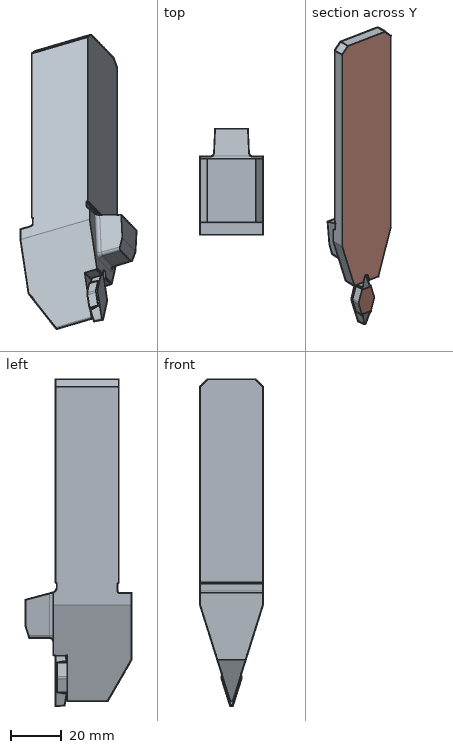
import cadquery as cq
import math

TOTAL_HEIGHT = 129
SHANK_WIDTH = 24.9
SHANK_DEPTH = 25.0
TOP_CHAMFER = 3.0

HALF_ANGLE = 17.5
WEDGE_SIN = math.sin(math.radians(HALF_ANGLE))
WEDGE_COS = math.cos(math.radians(HALF_ANGLE))
WEDGE_TAN = math.tan(math.radians(HALF_ANGLE))

HEAD_FRONT_Y = -30.0
HEAD_REAR_Y = 0.9
HEAD_LEDGE_Z = 44.8
TAPER_TOP_Z = 40
HEAD_NOSE_RADIUS = 0.6
FRONT_SLOPE_TOP_Z = 18.5
FRONT_SLOPE_ANGLE = 30

UNDERCUT_TOP_Z = 48.9
UNDERCUT_DEPTH = 0.5
FRONT_UNDERCUT_RADIUS = 0.8
REAR_UNDERCUT_RADIUS = 2.2

BOSS_REAR_Y = 11.9
BOSS_REAR_TOP_Z = 42.0
BOSS_TOP_ANGLE = 15
BOSS_REAR_BOTTOM_Z = 31.7
BOSS_BOTTOM_Z = 27.0
BOSS_BOTTOM_REAR_Y = 10.3
BOSS_ROOT_WIDTH = 13.5
BOSS_DRAFT_ANGLE = 1.2
BOSS_SIDE_TAPER_ANGLE = 5
BOSS_EDGE_RADIUS = 1.23
BOSS_ROOT_RADIUS = 1.48

INSERT_THICKNESS = 4.6
INSERT_HALF_WIDTH = 4.1
INSERT_NOSE_RADIUS = 0.71
INSERT_SIDE_RADIUS = 1.48
CLEARANCE_ANGLE = 5
RIM_THICKNESS = 0.8
LAND_HALF_LENGTH = 6.6
LAND_END_LENGTH = 0.8
BASE_RELIEF_HALF_LENGTH = 5.2
BASE_RELIEF_DEPTH = 1.3

SEAT_TOP_Z = 20.0
SEAT_EDGE_CHAMFER = 0.4

NOSE_SETBACK = 1 / WEDGE_SIN - 1
HEAD_APEX_Z = TAPER_TOP_Z - SHANK_WIDTH / 2 / WEDGE_TAN
HEAD_BOTTOM_Z = HEAD_APEX_Z + HEAD_NOSE_RADIUS * NOSE_SETBACK
INSERT_SHARP_HALF_LENGTH = INSERT_HALF_WIDTH / WEDGE_TAN
INSERT_CENTER_Z = INSERT_SHARP_HALF_LENGTH - INSERT_NOSE_RADIUS * NOSE_SETBACK


def extrude_across(sketch, width):
    """Extrude a YZ profile symmetrically about X = 0."""
    return sketch.extrude(width / 2, both=True)


def make_shank():
    undercut_floor_y = -SHANK_DEPTH + UNDERCUT_DEPTH
    shank = (
        cq.Workplane("YZ")
        .moveTo(0, HEAD_LEDGE_Z)
        .lineTo(0, TOTAL_HEIGHT)
        .lineTo(-SHANK_DEPTH, TOTAL_HEIGHT)
        .lineTo(-SHANK_DEPTH, UNDERCUT_TOP_Z)
        .lineTo(undercut_floor_y, UNDERCUT_TOP_Z - UNDERCUT_DEPTH)
        .lineTo(undercut_floor_y, HEAD_LEDGE_Z)
        .close()
    )
    return extrude_across(shank, SHANK_WIDTH).faces(">Z").edges("|Y").chamfer(TOP_CHAMFER)


def make_head():
    slope_run = (FRONT_SLOPE_TOP_Z - HEAD_BOTTOM_Z) * math.tan(math.radians(FRONT_SLOPE_ANGLE))
    side_profile = cq.Workplane("YZ").polyline([
        (HEAD_FRONT_Y, HEAD_LEDGE_Z),
        (HEAD_FRONT_Y, FRONT_SLOPE_TOP_Z),
        (HEAD_FRONT_Y + slope_run, HEAD_BOTTOM_Z),
        (HEAD_REAR_Y, HEAD_BOTTOM_Z),
        (HEAD_REAR_Y, UNDERCUT_TOP_Z),
        (-UNDERCUT_DEPTH, UNDERCUT_TOP_Z),
        (-UNDERCUT_DEPTH, HEAD_LEDGE_Z),
    ]).close()
    tangent_x = HEAD_NOSE_RADIUS * WEDGE_COS
    tangent_z = HEAD_BOTTOM_Z + HEAD_NOSE_RADIUS * (1 - WEDGE_SIN)
    wedge = (
        cq.Workplane("XZ", origin=(0, HEAD_REAR_Y, 0))
        .moveTo(-SHANK_WIDTH / 2, UNDERCUT_TOP_Z)
        .lineTo(-SHANK_WIDTH / 2, TAPER_TOP_Z)
        .lineTo(-tangent_x, tangent_z)
        .threePointArc((0, HEAD_BOTTOM_Z), (tangent_x, tangent_z))
        .lineTo(SHANK_WIDTH / 2, TAPER_TOP_Z)
        .lineTo(SHANK_WIDTH / 2, UNDERCUT_TOP_Z)
        .close()
        .extrude(HEAD_REAR_Y - HEAD_FRONT_Y)
    )
    return extrude_across(side_profile, SHANK_WIDTH).intersect(wedge)


def make_boss():
    """Drafted boss, left tall so that the rear undercut can slope its top."""
    side_profile = cq.Workplane("YZ").polyline([
        (0, BOSS_BOTTOM_Z),
        (BOSS_BOTTOM_REAR_Y, BOSS_BOTTOM_Z),
        (BOSS_REAR_Y, BOSS_REAR_BOTTOM_Z),
        (BOSS_REAR_Y, UNDERCUT_TOP_Z),
        (0, UNDERCUT_TOP_Z),
    ]).close()
    taper_tan = math.tan(math.radians(BOSS_SIDE_TAPER_ANGLE))
    bottom_half_width = BOSS_ROOT_WIDTH / 2 - BOSS_REAR_TOP_Z * taper_tan
    top_half_width = bottom_half_width + UNDERCUT_TOP_Z * taper_tan
    rear_facing_plane = cq.Plane(origin=(0, 0, 0), xDir=(-1, 0, 0), normal=(0, 1, 0))
    tapered_sides = (
        cq.Workplane(rear_facing_plane)
        .polyline([
            (-bottom_half_width, 0),
            (bottom_half_width, 0),
            (top_half_width, UNDERCUT_TOP_Z),
            (-top_half_width, UNDERCUT_TOP_Z),
        ])
        .close()
        .extrude(BOSS_REAR_Y, taper=BOSS_DRAFT_ANGLE)
    )
    boss = extrude_across(side_profile, SHANK_WIDTH).intersect(tapered_sides)
    lower_side_edges = boss.faces("<Z").edges("not |X")
    return boss.newObject(lower_side_edges.vals()).fillet(BOSS_EDGE_RADIUS)


def make_rear_undercut():
    """Cutter above the rear ledge: groove floor, root radius and sloping boss top."""
    slope = math.radians(BOSS_TOP_ANGLE)
    floor_y = -UNDERCUT_DEPTH
    corner_z = BOSS_REAR_TOP_Z + (BOSS_REAR_Y - floor_y) * math.tan(slope)
    center_y = floor_y + REAR_UNDERCUT_RADIUS
    tangent = REAR_UNDERCUT_RADIUS * math.tan((math.pi / 2 - slope) / 2)
    center_z = corner_z + tangent
    middle = math.pi + (math.pi / 2 - slope) / 2
    end = math.pi + (math.pi / 2 - slope)
    arc_middle = (
        center_y + REAR_UNDERCUT_RADIUS * math.cos(middle),
        center_z + REAR_UNDERCUT_RADIUS * math.sin(middle),
    )
    arc_end = (
        center_y + REAR_UNDERCUT_RADIUS * math.cos(end),
        center_z + REAR_UNDERCUT_RADIUS * math.sin(end),
    )
    cutter = (
        cq.Workplane("YZ")
        .moveTo(0, UNDERCUT_TOP_Z)
        .lineTo(floor_y, UNDERCUT_TOP_Z - UNDERCUT_DEPTH)
        .lineTo(floor_y, center_z)
        .threePointArc(arc_middle, arc_end)
        .lineTo(BOSS_REAR_Y, BOSS_REAR_TOP_Z)
        .lineTo(BOSS_REAR_Y, UNDERCUT_TOP_Z)
        .close()
    )
    return extrude_across(cutter, SHANK_WIDTH)


def rhombus(rake_y):
    """Sharp insert outline on an XZ plane whose extrusion runs toward -Y."""
    return cq.Workplane("XZ", origin=(0, rake_y, INSERT_CENTER_Z)).polyline([
        (INSERT_HALF_WIDTH, 0),
        (0, INSERT_SHARP_HALF_LENGTH),
        (-INSERT_HALF_WIDTH, 0),
        (0, -INSERT_SHARP_HALF_LENGTH),
    ]).close()


def round_rhombus(prism):
    noses = prism.edges("<Z or >Z").fillet(INSERT_NOSE_RADIUS)
    return noses.edges("|Y").edges("<X or >X").fillet(INSERT_SIDE_RADIUS)


def make_seat():
    """Step across the head, with a notch that takes the hidden upper end of the insert."""
    step = cq.Workplane("YZ").polyline([
        (-INSERT_THICKNESS, 0),
        (-INSERT_THICKNESS, SEAT_TOP_Z),
        (HEAD_REAR_Y - SEAT_EDGE_CHAMFER, SEAT_TOP_Z),
        (HEAD_REAR_Y, SEAT_TOP_Z + SEAT_EDGE_CHAMFER),
        (HEAD_REAR_Y, 0),
    ]).close()
    notch = round_rhombus(rhombus(HEAD_REAR_Y).extrude(INSERT_THICKNESS + HEAD_REAR_Y))
    return extrude_across(step, SHANK_WIDTH).union(notch)


def make_holder():
    front_root = cq.selectors.BoxSelector(
        (-SHANK_WIDTH, -SHANK_DEPTH, HEAD_LEDGE_Z - UNDERCUT_DEPTH),
        (SHANK_WIDTH, -SHANK_DEPTH + 2 * UNDERCUT_DEPTH, HEAD_LEDGE_Z + UNDERCUT_DEPTH),
    )
    body = make_shank().union(make_head())
    body = body.edges(front_root).edges("|X").fillet(FRONT_UNDERCUT_RADIUS)
    boss_root = cq.selectors.BoxSelector(
        (-BOSS_ROOT_WIDTH / 2, HEAD_REAR_Y - UNDERCUT_DEPTH, BOSS_BOTTOM_Z - UNDERCUT_DEPTH),
        (BOSS_ROOT_WIDTH / 2, HEAD_REAR_Y + UNDERCUT_DEPTH, UNDERCUT_TOP_Z - UNDERCUT_DEPTH),
    )
    body = body.union(make_boss()).edges(boss_root).fillet(BOSS_ROOT_RADIUS)
    return body.cut(make_rear_undercut()).cut(make_seat())


def make_insert_land():
    """Straight-walled middle of the insert below its rim."""
    shoulder_half_length = LAND_HALF_LENGTH - LAND_END_LENGTH
    shoulder_half_width = (INSERT_SHARP_HALF_LENGTH - shoulder_half_length) * WEDGE_TAN
    clearance_inset = INSERT_THICKNESS * math.tan(math.radians(CLEARANCE_ANGLE)) / WEDGE_COS
    end_half_width = (INSERT_SHARP_HALF_LENGTH - LAND_HALF_LENGTH) * WEDGE_TAN - clearance_inset
    band = (
        cq.Workplane("XZ", origin=(0, -RIM_THICKNESS, INSERT_CENTER_Z))
        .polyline([
            (end_half_width, LAND_HALF_LENGTH),
            (shoulder_half_width, shoulder_half_length),
            (INSERT_HALF_WIDTH, 0),
            (shoulder_half_width, -shoulder_half_length),
            (end_half_width, -LAND_HALF_LENGTH),
            (-end_half_width, -LAND_HALF_LENGTH),
            (-shoulder_half_width, -shoulder_half_length),
            (-INSERT_HALF_WIDTH, 0),
            (-shoulder_half_width, shoulder_half_length),
            (-end_half_width, LAND_HALF_LENGTH),
        ])
        .close()
        .extrude(INSERT_THICKNESS - RIM_THICKNESS)
    )
    return band.edges("|Y").edges("<X or >X").fillet(INSERT_SIDE_RADIUS)


def make_base_relief(direction):
    """Cutter that slopes the base up toward one nose; direction is +1 or -1 along Z."""
    start_z = INSERT_CENTER_Z + direction * BASE_RELIEF_HALF_LENGTH
    tip_z = INSERT_CENTER_Z + direction * INSERT_SHARP_HALF_LENGTH
    cutter = cq.Workplane("YZ").polyline([
        (-INSERT_THICKNESS, start_z),
        (-INSERT_THICKNESS + BASE_RELIEF_DEPTH, tip_z),
        (-INSERT_THICKNESS, tip_z),
    ]).close()
    return extrude_across(cutter, 2 * INSERT_HALF_WIDTH)


def make_insert():
    outline = round_rhombus(rhombus(0).extrude(INSERT_THICKNESS)).faces(">Y").wires()
    insert = cq.Workplane("XZ").newObject(outline.vals()).toPending()
    insert = insert.extrude(INSERT_THICKNESS, taper=CLEARANCE_ANGLE)
    insert = insert.union(make_insert_land())
    for direction in (-1, 1):
        insert = insert.cut(make_base_relief(direction))
    return insert


holder = make_holder().solids()
insert = make_insert().solids()
result = cq.Compound.makeCompound([holder.val(), insert.val()])